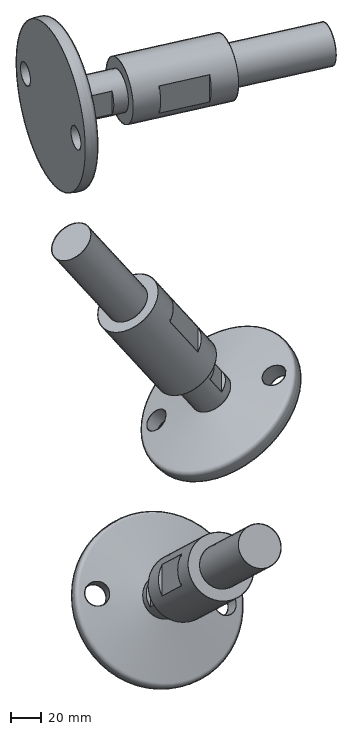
import cadquery as cq
import math

total_length = 197.0

foot_diameter = 118.0
underside_diameter = 117.0
draft_height = 4.3
cone_angle = 10.0
cone_top = 17.1
shoulder_radius = 3.0

mount_hole_diameter = 16.5
mount_hole_offset = 42.7
cutter_length = 78.8

stem_diameter = 30.0
stem_flat_width = 24.0
stem_flat_start = 23.8
stem_flat_length = 14.8

sleeve_diameter = 46.0
sleeve_start = 49.0
sleeve_length = 75.0
sleeve_flat_width = 41.0
sleeve_flat_length = 36.0


def cylinder_along_y(diameter, start, length):
    """Cylinder about the Y axis, from Y = start to start + length."""
    plane = cq.Workplane("XZ", origin=(0, start, 0))
    return plane.circle(diameter / 2).extrude(-length)


def cut_flats(body, diameter, flat_width, start, length):
    """Cut two opposite flats, square to X, into a round body."""
    depth = (diameter - flat_width) / 2
    for side in (-1, 1):
        center = (side * (flat_width + depth) / 2, start + length / 2, 0)
        cutter = cq.Workplane("XY").box(depth, length, diameter).translate(center)
        body = body.cut(cutter)
    return body


def make_foot_plate():
    foot_radius = foot_diameter / 2
    stem_radius = stem_diameter / 2
    slope = math.tan(math.radians(cone_angle))
    shoulder_height = cone_top - (foot_radius - stem_radius) * slope
    tangent = shoulder_radius * math.tan(math.radians(90 - cone_angle) / 2)
    arc_start = (foot_radius, shoulder_height - tangent)
    arc_end = (
        foot_radius - tangent * math.cos(math.radians(cone_angle)),
        shoulder_height + tangent * math.sin(math.radians(cone_angle)),
    )
    return (
        cq.Workplane("XY")
        .lineTo(underside_diameter / 2, 0)
        .lineTo(foot_radius, draft_height)
        .lineTo(*arc_start)
        .radiusArc(arc_end, -shoulder_radius)
        .lineTo(stem_radius, cone_top)
        .lineTo(0, cone_top)
        .close()
        .revolve(360, (0, 0, 0), (0, 1, 0))
    )


def cut_mount_holes(plate):
    tilt = math.radians(cone_angle)
    for side in (-1, 1):
        axis = cq.Vector(side * math.sin(tilt), math.cos(tilt), 0)
        start = cq.Vector(side * mount_hole_offset, 0, 0) - axis * (cutter_length / 2)
        cutter = cq.Solid.makeCylinder(mount_hole_diameter / 2, cutter_length, start, axis)
        plate = plate.cut(cq.Workplane(cutter))
    return plate


def make_foot():
    """Foot plate and the full-length stem, in one piece."""
    plate = cut_mount_holes(make_foot_plate())
    stem = cylinder_along_y(stem_diameter, cone_top, total_length - cone_top)
    stem = cut_flats(stem, stem_diameter, stem_flat_width, stem_flat_start, stem_flat_length)
    return plate.union(stem)


def make_sleeve():
    """Sleeve around the stem, with flats at mid-length."""
    sleeve = cylinder_along_y(sleeve_diameter, sleeve_start, sleeve_length)
    bore = cylinder_along_y(stem_diameter, sleeve_start, sleeve_length)
    flat_start = sleeve_start + (sleeve_length - sleeve_flat_length) / 2
    sleeve = cut_flats(sleeve, sleeve_diameter, sleeve_flat_width, flat_start, sleeve_flat_length)
    return sleeve.cut(bore)


foot = make_foot()
sleeve = make_sleeve()

result = cq.Compound.makeCompound([foot.val(), sleeve.val()])